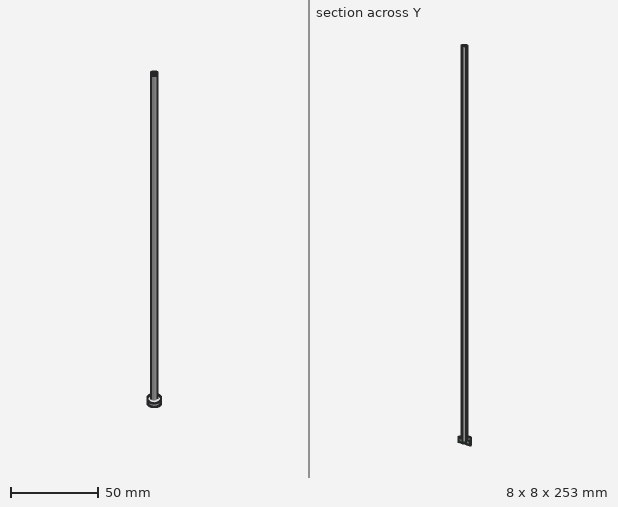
import cadquery as cq

total_length = 253.0
head_diameter = 8.0
head_height = 3.0
sleeve_diameter = 4.0
bore_diameter = 2.0
neck_fillet = 0.3


def cylinder(diameter, height):
    """Upright cylinder on the Z axis, resting on Z = 0."""
    return cq.Workplane("XY").circle(diameter / 2).extrude(height)


def fillet_neck(body):
    """Round the inside corner where the tube meets the top of the head."""
    head_top_edges = body.faces("+Z").faces("<Z").edges("%CIRCLE")
    neck_edge = head_top_edges.edges(cq.selectors.RadiusNthSelector(0))
    return neck_edge.fillet(neck_fillet)


head = cylinder(head_diameter, head_height)
sleeve = cylinder(sleeve_diameter, total_length)
bore = cylinder(bore_diameter, total_length)

result = fillet_neck(head.union(sleeve)).cut(bore)